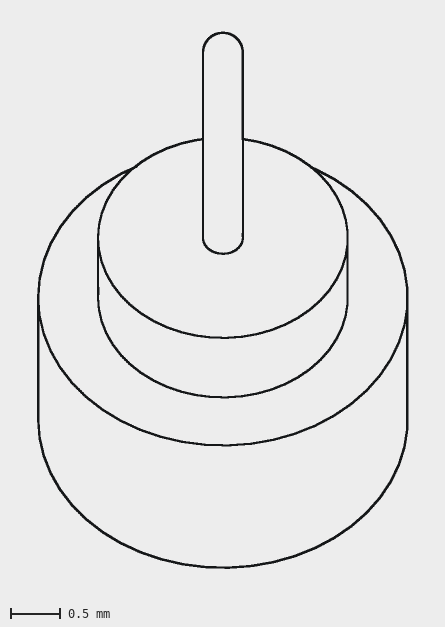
import cadquery as cq
import math

total_height = 6.35
base_diameter = 3.7
base_height = 2.05
collar_diameter = 2.5
collar_height = 1.0
pin_diameter = 0.4
tip_height = 0.185

collar_top = base_height + collar_height
pin_radius = pin_diameter / 2
shaft_top = total_height - tip_height

base = cq.Workplane("XY").circle(base_diameter / 2).extrude(base_height)
body = base.faces(">Z").workplane().circle(collar_diameter / 2).extrude(collar_height)


def domed_pin():
    """Slender pin on the Z axis, rising from the collar to a spherical cap."""
    sphere_radius = (pin_radius**2 + tip_height**2) / (2 * tip_height)
    sphere_center = total_height - sphere_radius
    half_angle = math.asin(pin_radius / sphere_radius) / 2
    arc_middle = (
        sphere_radius * math.sin(half_angle),
        sphere_center + sphere_radius * math.cos(half_angle),
    )
    half_profile = (
        cq.Workplane("XZ")
        .moveTo(0, collar_top)
        .lineTo(pin_radius, collar_top)
        .lineTo(pin_radius, shaft_top)
        .threePointArc(arc_middle, (0, total_height))
        .close()
    )
    return half_profile.revolve(360, (0, 0), (0, 1))


result = body.union(domed_pin())